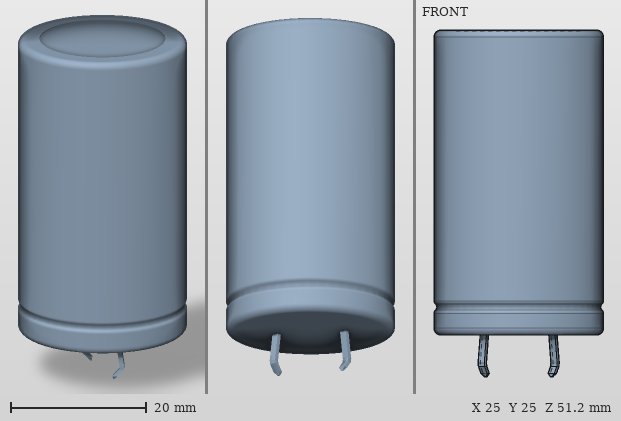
import cadquery as cq
import math

can_diameter = 25.0
can_height = 45.0
rim_radius = 1.0
can_radius = can_diameter / 2

recess_diameter = 18.55
recess_depth = 0.15

groove_height = 4.15
groove_half_width = 0.9
blend_height = 0.45
blend_end_diameter = 24.6

pin_pitch = 10.15
pin_length = 6.15
pin_width = 1.05
pin_thickness = 0.65
pin_turn = 30.0
pin_embed = 0.5
root_lean_y = 0.1
kink_depth = 4.1
kink_lean_x = 0.3
kink_lean_y = 0.65
bend_depth = 4.6
bend_lean_x = 0.25
bend_lean_y = 0.6
nose_depth = 5.6
nose_lean_x = -0.1
nose_lean_y = -0.3
tip_lean_x = -0.2
tip_lean_y = -0.45
tip_scale = 0.3


def make_can():
    """Solid can with the crimp groove in its wall and rounded top and bottom rims."""
    blend_depth = can_radius - blend_end_diameter / 2
    slope_angle = 2 * math.atan(blend_depth / blend_height)
    blend_radius = blend_height / math.sin(slope_angle)
    floor_radius = (groove_half_width - blend_height) / math.sin(slope_angle)
    groove_floor = blend_end_diameter / 2 - floor_radius * (1 - math.cos(slope_angle))

    blend_end_z = groove_half_width - blend_height
    blend_mid_z = groove_half_width - blend_radius * math.sin(slope_angle / 2)
    blend_mid_x = can_radius - blend_radius * (1 - math.cos(slope_angle / 2))

    profile = (
        cq.Workplane("XZ")
        .lineTo(can_radius, 0)
        .lineTo(can_radius, groove_height - groove_half_width)
        .threePointArc(
            (blend_mid_x, groove_height - blend_mid_z),
            (blend_end_diameter / 2, groove_height - blend_end_z),
        )
        .threePointArc(
            (groove_floor, groove_height),
            (blend_end_diameter / 2, groove_height + blend_end_z),
        )
        .threePointArc(
            (blend_mid_x, groove_height + blend_mid_z),
            (can_radius, groove_height + groove_half_width),
        )
        .lineTo(can_radius, can_height)
        .lineTo(0, can_height)
        .close()
    )
    can = profile.revolve(360, (0, 0, 0), (0, 1, 0))
    return can.faces("<Z or >Z").edges().fillet(rim_radius)


def pin_section(depth, lean_x, lean_y, scale=1.0):
    """Turned rectangle at a depth below the can, shifted outward (-X) and sideways (-Y)."""
    return (
        cq.Workplane("XY", origin=(-pin_pitch / 2 - lean_x, -lean_y, -depth))
        .transformed(rotate=(0, 0, -pin_turn))
        .rect(pin_width * scale, pin_thickness * scale)
        .wires()
        .val()
    )


def make_pin():
    """Pin on the -X side, built as straight stretches between successive sections."""
    sections = [
        pin_section(-pin_embed, 0, root_lean_y),
        pin_section(0, 0, root_lean_y),
        pin_section(kink_depth, kink_lean_x, kink_lean_y),
        pin_section(bend_depth, bend_lean_x, bend_lean_y),
        pin_section(nose_depth, nose_lean_x, nose_lean_y),
        pin_section(pin_length, tip_lean_x, tip_lean_y, tip_scale),
    ]
    return cq.Workplane(cq.Solid.makeLoft(sections, True))


def make_recess():
    """Shallow disc removed from the top face."""
    top = cq.Workplane("XY", origin=(0, 0, can_height))
    return top.circle(recess_diameter / 2).extrude(-recess_depth)


result = make_can().cut(make_recess())
pin = make_pin()
for turn in (0, 180):
    result = result.union(pin.rotate((0, 0, 0), (0, 0, 1), turn))